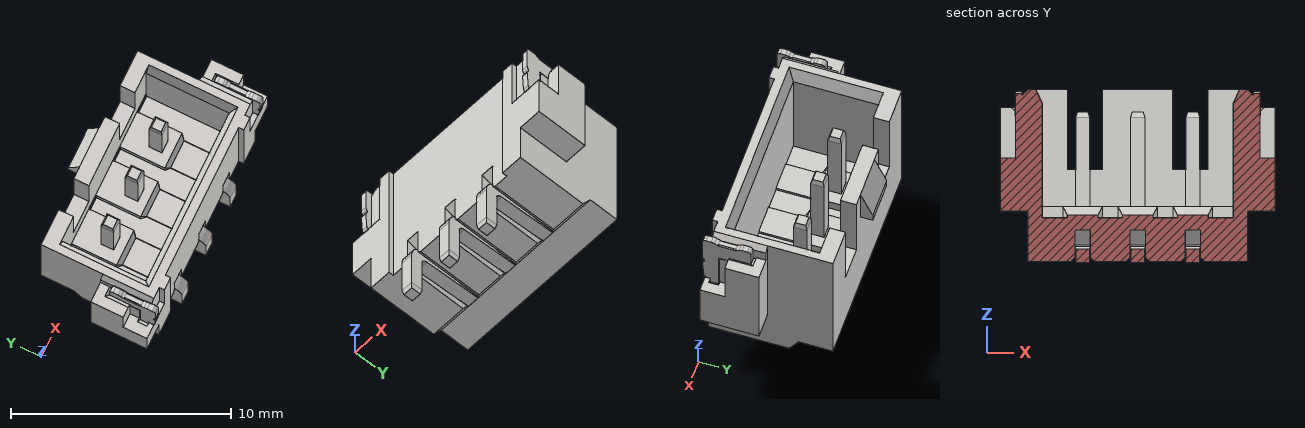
import cadquery as cq
import math


housing_half_width = 5.0
housing_depth = 5.96
housing_height = 7.81
back_underside = 0.72
foot_slope_top_y = 4.31
foot_slope_bottom_y = 3.86

recess_half_width = 3.8
recess_depth = 0.26

cavity_half_width = 4.32
cavity_front_y = 1.0
cavity_back_y = 5.2
cavity_floor = 2.0
lead_in_width = 0.3
lead_in_height = 0.62
ledge_depth = 0.04
ledge_height = 0.5

window_inner_x = 1.6
window_outer_x = 3.19
window_sill = 4.19

pedestal_half_width = 0.9
pedestal_front_y = 2.92
pedestal_height = ledge_height
pedestal_bevel = 0.2
step_half_width = pedestal_half_width - pedestal_bevel
step_height = 0.12

latch_half_width = 1.01
latch_reach = 0.59
latch_bottom = 6.01
latch_nose = 6.39

pin_pitch = 2.5
pin_count = 3
pin_size = 0.65
pin_center_y = 3.68
pin_top = 6.8
pin_bottom = -2.79
pin_face_y = -0.1
bend_inner_radius = 0.3
bend_outer_radius = bend_inner_radius + pin_size
bend_center_z = -0.38
leg_tilt = math.radians(3)
contact_tip_inset = 0.081
contact_tip_height = 0.26
tail_tip_inset = 0.06
tail_tip_height = 0.3

channel_width = 0.69
channel_mouth_top = 1.72
channel_end_top = 0.75
channel_end_y = 2.88
channel_chamfer = 0.19

wing_half_span = 6.25
wing_depth = 2.84
wing_bottom = 2.28
wing_top = 7.0
shelf_height = 4.71
shelf_depth = 1.2
rail_notch_x = 4.44
side_pad_thickness = 0.25

tab_thickness = 0.31
tab_inner_x = housing_half_width + side_pad_thickness
tab_outer_x = tab_inner_x + tab_thickness
tab_back_y = 2.22
tab_face_y = pin_face_y
tab_top = 7.74
tab_corner_radius = 0.18
tab_dip_depth = 0.1
tab_dip_chamfer = 0.05
tab_back_ramp_y = (1.8, 1.5)
tab_front_ramp_y = (0.65, 0.32)
tab_groove_top = 6.35
tab_groove_bottom = 5.84
tab_groove_core_half = 0.09
tab_groove_shoulder_depth = 0.06
tab_toe_y = -0.04
tab_toe_z = 4.92
tab_toe_end_y = 0.06
tab_leg_y = 0.68
tab_opening_top = 6.6
tab_front_bottom = 4.8
tab_embed = 0.25
slot_chamfer = 0.18
wing_slot_end_run = 0.15
shelf_slot_end_run = 0.06

post_front_gap = 0.05
post_face_setback = 0.01
post_chamfer = 0.11


def box(x0, x1, y0, y1, z0, z1):
    return cq.Workplane("XY").box(x1 - x0, y1 - y0, z1 - z0, centered=False).translate((x0, y0, z0))


def side_prism(sketch, x0, x1):
    """Extrude a closed outline drawn in the YZ plane from x0 to x1."""
    return sketch.extrude(x1 - x0).translate((x0, 0, 0))


def front_prism(points, y0, y1):
    """Extrude an outline given as (x, z) points from y0 to y1."""
    return cq.Workplane("XZ").polyline(points).close().extrude(y0 - y1).translate((0, y0, 0))


def rectangle_loft(lower, upper):
    """Loft between two rectangles, each given as (half_width, y0, y1, z), centred on X = 0."""
    half_lower, y0_lower, y1_lower, z_lower = lower
    half_upper, y0_upper, y1_upper, z_upper = upper
    return (
        cq.Workplane("XY", origin=(0, (y0_lower + y1_lower) / 2, z_lower))
        .rect(2 * half_lower, y1_lower - y0_lower)
        .workplane(offset=z_upper - z_lower)
        .center(0, (y0_upper + y1_upper - y0_lower - y1_lower) / 2)
        .rect(2 * half_upper, y1_upper - y0_upper)
        .loft(ruled=True, combine=True)
    )


def both_sides(solid):
    return solid.union(solid.mirror("YZ"))


def make_shell():
    outline = [
        (0, 0),
        (foot_slope_bottom_y, 0),
        (foot_slope_top_y, back_underside),
        (housing_depth, back_underside),
        (housing_depth, housing_height),
        (0, housing_height),
    ]
    sketch = cq.Workplane("YZ").polyline(outline).close()
    shell = side_prism(sketch, -housing_half_width, housing_half_width)
    return shell.cut(box(-recess_half_width, recess_half_width, 0, recess_depth, 0, housing_height))


def make_cavity():
    lead_in_bottom = housing_height - lead_in_height
    floor = (cavity_half_width, cavity_front_y, cavity_back_y, cavity_floor)
    throat = (cavity_half_width, cavity_front_y, cavity_back_y, lead_in_bottom)
    mouth = (
        cavity_half_width + lead_in_width,
        cavity_front_y - lead_in_width,
        cavity_back_y,
        housing_height,
    )
    return rectangle_loft(floor, throat).union(rectangle_loft(throat, mouth))


def make_windows():
    return both_sides(
        box(window_inner_x, window_outer_x, cavity_back_y, housing_depth, window_sill, housing_height)
    )


def make_ledge():
    """Low ledge on the cavity floor along the back wall."""
    front = cavity_back_y - ledge_depth
    ledge_top = cavity_floor + ledge_height
    return box(-cavity_half_width, cavity_half_width, front, cavity_back_y, cavity_floor, ledge_top)


def make_pedestal():
    """Floor block whose front bevels down, while narrowing, to a low step."""
    bevel_end_y = pedestal_front_y - pedestal_bevel
    plan = [
        (-step_half_width, cavity_front_y),
        (step_half_width, cavity_front_y),
        (step_half_width, bevel_end_y),
        (pedestal_half_width, pedestal_front_y),
        (pedestal_half_width, cavity_back_y),
        (-pedestal_half_width, cavity_back_y),
        (-pedestal_half_width, pedestal_front_y),
        (-step_half_width, bevel_end_y),
    ]
    profile = [
        (cavity_front_y, 0),
        (cavity_back_y, 0),
        (cavity_back_y, pedestal_height),
        (pedestal_front_y, pedestal_height),
        (bevel_end_y, step_height),
        (cavity_front_y, step_height),
    ]
    block = cq.Workplane("XY").polyline(plan).close().extrude(pedestal_height)
    sketch = cq.Workplane("YZ").polyline(profile).close()
    limit = side_prism(sketch, -pedestal_half_width, pedestal_half_width)
    return block.intersect(limit).translate((0, 0, cavity_floor))


def make_latch():
    outline = [
        (housing_depth, latch_bottom),
        (housing_depth + latch_reach, latch_bottom),
        (housing_depth + latch_reach, latch_nose),
        (housing_depth, housing_height),
    ]
    return side_prism(cq.Workplane("YZ").polyline(outline).close(), -latch_half_width, latch_half_width)


def make_wing():
    """Wing on the +X side, with the pad beside the tab and the shelf in front of it."""
    wing = box(housing_half_width, wing_half_span, 0, wing_depth, wing_bottom, wing_top)
    pad_outline = [
        (housing_half_width, wing_bottom),
        (tab_inner_x, wing_bottom),
        (tab_inner_x, housing_height - side_pad_thickness),
        (housing_half_width, housing_height),
    ]
    wing = wing.cut(box(tab_inner_x, wing_half_span, 0, shelf_depth, shelf_height, wing_top))
    wing = wing.cut(make_slot_mouth(wing_top, shelf_depth, tab_back_y, wing_slot_end_run))
    wing = wing.cut(make_slot_mouth(shelf_height, recess_depth, tab_leg_y, shelf_slot_end_run))
    return wing.union(front_prism(pad_outline, 0, wing_depth))


def make_slot_mouth(top, y0, y1, end_run):
    """Chamfered mouth of a tab slot; its end wall leans back by end_run."""
    half = tab_thickness / 2
    bottom_rectangle = (half, y0, y1, top - slot_chamfer)
    top_rectangle = (half + slot_chamfer, y0, y1 + end_run, top)
    return rectangle_loft(bottom_rectangle, top_rectangle).translate((tab_inner_x + half, 0, 0))


def make_rail_notch():
    return box(rail_notch_x, tab_inner_x, 0, recess_depth, shelf_height, housing_height)


def make_tab():
    """Solder tab on the +X side: a plate with one leg in the shelf and one in the wing."""
    radius = tab_corner_radius
    corner = radius * (1 - math.sqrt(0.5))
    face = tab_face_y
    dip_z = tab_top - tab_dip_depth
    half_dip_z = tab_top - tab_dip_depth / 2
    groove_middle = (tab_groove_top + tab_groove_bottom) / 2
    groove_shoulder_y = face + tab_groove_shoulder_depth
    back_ramp_start, back_ramp_end = tab_back_ramp_y
    front_ramp_start, front_ramp_end = tab_front_ramp_y
    sketch = (
        cq.Workplane("YZ")
        .moveTo(tab_back_y, shelf_height)
        .lineTo(tab_back_y, tab_top - radius)
        .threePointArc((tab_back_y - corner, tab_top - corner), (tab_back_y - radius, tab_top))
        .lineTo(back_ramp_start, tab_top)
        .tangentArcPoint(((back_ramp_start + back_ramp_end) / 2, half_dip_z), relative=False)
        .tangentArcPoint((back_ramp_end, dip_z), relative=False)
        .lineTo(front_ramp_start, dip_z)
        .tangentArcPoint(((front_ramp_start + front_ramp_end) / 2, half_dip_z), relative=False)
        .tangentArcPoint((front_ramp_end, tab_top), relative=False)
        .lineTo(face + radius, tab_top)
        .threePointArc((face + corner, tab_top - corner), (face, tab_top - radius))
        .lineTo(face, tab_groove_top)
        .tangentArcPoint((groove_shoulder_y, groove_middle + tab_groove_core_half), relative=False)
        .tangentArcPoint((groove_shoulder_y, groove_middle - tab_groove_core_half), relative=False)
        .tangentArcPoint((face, tab_groove_bottom), relative=False)
        .lineTo(tab_toe_y, tab_toe_z)
        .tangentArcPoint((tab_toe_end_y, tab_front_bottom), relative=False)
        .lineTo(recess_depth, tab_front_bottom)
        .lineTo(recess_depth, shelf_height - tab_embed)
        .lineTo(tab_leg_y, shelf_height - tab_embed)
        .lineTo(tab_leg_y, tab_opening_top)
        .lineTo(shelf_depth, tab_opening_top)
        .lineTo(shelf_depth, shelf_height)
        .close()
    )
    tab = side_prism(sketch, tab_inner_x, tab_outer_x)

    for edge_x, inward in ((tab_inner_x, 1), (tab_outer_x, -1)):
        wedge = [
            (edge_x, dip_z),
            (edge_x + inward * tab_dip_chamfer, dip_z),
            (edge_x, dip_z - tab_dip_chamfer),
        ]
        tab = tab.cut(front_prism(wedge, front_ramp_start, back_ramp_end))
    return tab


def make_post():
    """Housing post on the +X side that fills the opening of the tab, with a gap to its front leg."""
    front = tab_leg_y + post_front_gap
    outline = [
        (front, shelf_height),
        (shelf_depth, shelf_height),
        (shelf_depth, tab_opening_top),
        (front + post_chamfer, tab_opening_top),
        (front, tab_opening_top - post_chamfer),
    ]
    sketch = cq.Workplane("YZ").polyline(outline).close()
    return side_prism(sketch, tab_inner_x, tab_outer_x - post_face_setback)


def make_channel():
    """Channel under the housing for one pin tail, with a sloping roof and a chamfered lower mouth."""
    half = channel_width / 2
    outline = [
        (recess_depth, 0),
        (channel_end_y, 0),
        (channel_end_y, channel_end_top),
        (recess_depth, channel_mouth_top),
    ]
    channel = side_prism(cq.Workplane("YZ").polyline(outline).close(), -half, half)
    flare = [
        (-half - channel_chamfer, 0),
        (half + channel_chamfer, 0),
        (half, channel_chamfer),
        (-half, channel_chamfer),
    ]
    return channel.union(front_prism(flare, recess_depth, foot_slope_top_y))


def tapered_tip(center_y, base_z, end_z, inset):
    half = pin_size / 2
    base = (half, center_y - half, center_y + half, base_z)
    end = (half - inset, center_y - half + inset, center_y + half - inset, end_z)
    return rectangle_loft(base, end)


def make_pin():
    """Upright contact, a slightly tilted leg towards the mounting face, and a bent-down tail."""
    half = pin_size / 2
    contact_shoulder = pin_top - contact_tip_height
    tail_shoulder = pin_bottom + tail_tip_height
    contact_front = pin_center_y - half
    contact_back = pin_center_y + half
    bend_center_y = pin_face_y + bend_outer_radius
    bend_end = math.pi / 2 + leg_tilt
    bend_start = math.pi
    bend_middle = (bend_start + bend_end) / 2

    def bend_point(radius, angle):
        return (bend_center_y + radius * math.cos(angle), bend_center_z + radius * math.sin(angle))

    def leg_height(radius, y):
        start_y, start_z = bend_point(radius, bend_end)
        return start_z + (y - start_y) * math.tan(leg_tilt)

    sketch = (
        cq.Workplane("YZ")
        .moveTo(pin_face_y, tail_shoulder)
        .lineTo(pin_face_y, bend_center_z)
        .threePointArc(
            bend_point(bend_outer_radius, bend_middle),
            bend_point(bend_outer_radius, bend_end),
        )
        .lineTo(contact_front, leg_height(bend_outer_radius, contact_front))
        .lineTo(contact_front, contact_shoulder)
        .lineTo(contact_back, contact_shoulder)
        .lineTo(contact_back, leg_height(bend_inner_radius, contact_back))
        .lineTo(*bend_point(bend_inner_radius, bend_end))
        .threePointArc(
            bend_point(bend_inner_radius, bend_middle),
            (pin_face_y + pin_size, bend_center_z),
        )
        .lineTo(pin_face_y + pin_size, tail_shoulder)
        .close()
    )
    pin = side_prism(sketch, -half, half)
    pin = pin.union(tapered_tip(pin_center_y, contact_shoulder, pin_top, contact_tip_inset))
    return pin.union(tapered_tip(pin_face_y + half, tail_shoulder, pin_bottom, tail_tip_inset))


housing = make_shell().cut(make_cavity()).cut(make_windows()).union(make_ledge())
housing = housing.union(make_latch()).union(both_sides(make_wing())).cut(both_sides(make_rail_notch()))
result = housing.union(both_sides(make_post())).union(both_sides(make_tab()))

for index in range(pin_count):
    pin_x = (index - (pin_count - 1) / 2) * pin_pitch
    result = result.union(make_pedestal().translate((pin_x, 0, 0)))
    result = result.cut(make_channel().translate((pin_x, 0, 0)))
    result = result.union(make_pin().translate((pin_x, 0, 0)))